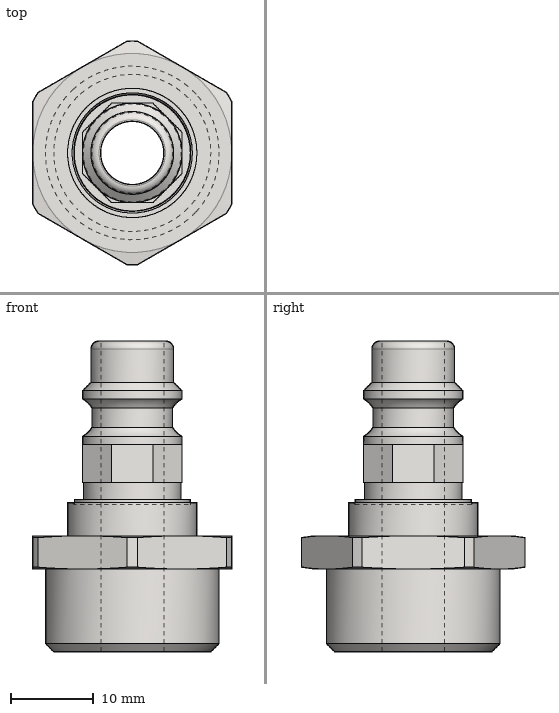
import cadquery as cq
import math

TOTAL_HEIGHT = 37.5
THREAD_TOP = 10.0
HEX_TOP = 14.0
COLLAR_TOP = 18.0
SPIGOT_TOP = 18.4
OCTAGON_BOTTOM = 20.4
OCTAGON_TOP = 25.0
LOWER_BAND_TOP = 26.0
UPPER_BAND_BOTTOM = 30.5
UPPER_BAND_TOP = 31.5

FLANK_HEIGHT = 1.08
FLANK_RADIUS = 3.0

BORE_DIAMETER = 7.6
THREAD_DIAMETER = 20.95
COLLAR_DIAMETER = 15.6
COLLAR_BORE_DIAMETER = 14.1
SPIGOT_DIAMETER = 14.0
SHANK_DIAMETER = 11.8
BAND_DIAMETER = 12.0
NECK_DIAMETER = 9.75
TIP_DIAMETER = 10.0

HEX_ACROSS_FLATS = 24.0
HEX_ACROSS_CORNERS = 27.0
HEX_CHAMFER_DROP = 0.22
OCTAGON_ACROSS_FLATS = BAND_DIAMETER

THREAD_CHAMFER = 1.0
TIP_FILLET = 1.0
COLLAR_INNER_CHAMFER = 0.2


def regular_prism(sides, across_flats, bottom, top):
    """Vertical prism with one pair of flats facing -X and +X."""
    circumscribed = across_flats / math.cos(math.pi / sides)
    return (
        cq.Workplane("XY")
        .workplane(offset=bottom)
        .transformed(rotate=(0, 0, 180 / sides))
        .polygon(sides, circumscribed)
        .extrude(top - bottom)
    )


def revolve_about_z(profile):
    return profile.close().revolve(360, (0, 0, 0), (0, 1, 0))


def turned_body():
    """Stepped body of revolution, without the wrench flats and bore."""
    thread = THREAD_DIAMETER / 2
    collar = COLLAR_DIAMETER / 2
    collar_bore = COLLAR_BORE_DIAMETER / 2
    spigot = SPIGOT_DIAMETER / 2
    shank = SHANK_DIAMETER / 2
    band = BAND_DIAMETER / 2
    neck = NECK_DIAMETER / 2
    tip = TIP_DIAMETER / 2
    groove_floor = COLLAR_TOP - COLLAR_INNER_CHAMFER
    fillet_centre_radius = tip - TIP_FILLET
    fillet_centre_height = TOTAL_HEIGHT - TIP_FILLET
    fillet_mid = TIP_FILLET * math.sqrt(0.5)

    profile = (
        cq.Workplane("XZ")
        .moveTo(0, 0)
        .lineTo(thread - THREAD_CHAMFER, 0)
        .lineTo(thread, THREAD_CHAMFER)
        .lineTo(thread, THREAD_TOP)
        .lineTo(collar, THREAD_TOP)
        .lineTo(collar, COLLAR_TOP)
        .lineTo(collar_bore + COLLAR_INNER_CHAMFER, COLLAR_TOP)
        .lineTo(collar_bore, groove_floor)
        .lineTo(spigot, groove_floor)
        .lineTo(spigot, SPIGOT_TOP)
        .lineTo(shank, SPIGOT_TOP)
        .lineTo(shank, OCTAGON_TOP)
        .lineTo(band, OCTAGON_TOP)
        .lineTo(band, LOWER_BAND_TOP)
        .radiusArc((neck, LOWER_BAND_TOP + FLANK_HEIGHT), FLANK_RADIUS)
        .lineTo(neck, UPPER_BAND_BOTTOM - FLANK_HEIGHT)
        .radiusArc((band, UPPER_BAND_BOTTOM), FLANK_RADIUS)
        .lineTo(band, UPPER_BAND_TOP)
        .lineTo(tip, UPPER_BAND_TOP + band - tip)
        .lineTo(tip, fillet_centre_height)
        .threePointArc(
            (fillet_centre_radius + fillet_mid, fillet_centre_height + fillet_mid),
            (fillet_centre_radius, TOTAL_HEIGHT),
        )
        .lineTo(0, TOTAL_HEIGHT)
    )
    return revolve_about_z(profile)


def hex_flange():
    """Hexagon with turned corners and a shallow cone on both faces."""
    corner = HEX_ACROSS_CORNERS / 2
    face = HEX_ACROSS_FLATS / 2
    envelope_profile = (
        cq.Workplane("XZ")
        .moveTo(0, THREAD_TOP)
        .lineTo(face, THREAD_TOP)
        .lineTo(corner, THREAD_TOP + HEX_CHAMFER_DROP)
        .lineTo(corner, HEX_TOP - HEX_CHAMFER_DROP)
        .lineTo(face, HEX_TOP)
        .lineTo(0, HEX_TOP)
    )
    prism = regular_prism(6, HEX_ACROSS_FLATS, THREAD_TOP, HEX_TOP)
    return prism.intersect(revolve_about_z(envelope_profile))


def octagon_grip():
    return regular_prism(8, OCTAGON_ACROSS_FLATS, OCTAGON_BOTTOM, OCTAGON_TOP)


def through_bore():
    return cq.Workplane("XY").circle(BORE_DIAMETER / 2).extrude(TOTAL_HEIGHT)


result = turned_body().union(hex_flange()).union(octagon_grip()).cut(through_bore())